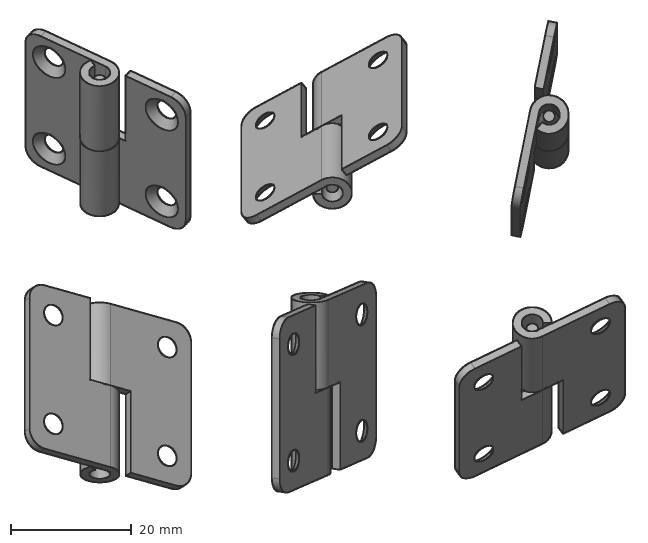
import cadquery as cq
import math

hinge_width = 32.0
hinge_height = 30.0
knuckle_diameter = 6.5
leaf_thickness = 1.5
corner_radius = 3.0

knuckle_radius = knuckle_diameter / 2
bore_radius = knuckle_radius - leaf_thickness
curl_end_angle = 150.0
knuckle_relief = 4.0

hole_diameter = 3.68
countersink_diameter = 6.5
countersink_angle = 90.0
hole_x = 11.25
hole_z = 10.0

pin_recess = 1.5
pin_tip_radius = 0.95
pin_taper_length = 4.0
pin_length = hinge_height - 2 * pin_recess


def polar(radius, angle):
    """Point on a circle about the pin axis, with the angle in degrees."""
    return (radius * math.cos(math.radians(angle)), radius * math.sin(math.radians(angle)))


def make_plate():
    """Flat plate on the -X side with rounded outer corners."""
    plate_width = hinge_width / 2 - knuckle_relief
    return (
        cq.Workplane("XY")
        .box(plate_width, leaf_thickness, hinge_height)
        .edges("|Y and <X")
        .fillet(corner_radius)
        .translate((-knuckle_relief - plate_width / 2, knuckle_radius - leaf_thickness / 2, 0))
    )


def make_knuckle():
    """Strip rolled around the pin, occupying the upper half of the hinge."""
    return (
        cq.Workplane("XY")
        .moveTo(-knuckle_relief, knuckle_radius)
        .lineTo(0, knuckle_radius)
        .threePointArc(polar(knuckle_radius, -45), polar(knuckle_radius, curl_end_angle))
        .lineTo(*polar(bore_radius, curl_end_angle))
        .threePointArc(polar(bore_radius, -45), (0, bore_radius))
        .lineTo(-knuckle_relief, bore_radius)
        .close()
        .extrude(hinge_height / 2)
    )


def make_leaf():
    """Left leaf: plate and knuckle, with screw holes countersunk on the knuckle side."""
    return (
        make_plate()
        .union(make_knuckle())
        .copyWorkplane(cq.Workplane("XZ", origin=(0, bore_radius, 0)))
        .pushPoints([(-hole_x, -hole_z), (-hole_x, hole_z)])
        .cskHole(hole_diameter, countersink_diameter, countersink_angle)
    )


def make_pin():
    """Pin filling the bore, tapering at both recessed ends."""
    tip_z = pin_length / 2
    shoulder_z = tip_z - pin_taper_length
    half_profile = [
        (0, -tip_z),
        (pin_tip_radius, -tip_z),
        (bore_radius, -shoulder_z),
        (bore_radius, shoulder_z),
        (pin_tip_radius, tip_z),
        (0, tip_z),
    ]
    return (
        cq.Workplane("XZ")
        .polyline(half_profile)
        .close()
        .revolve(360, (0, 0, 0), (0, 1, 0))
    )


leaves = [make_leaf().rotate((0, 0, 0), (0, 1, 0), turn) for turn in (0, 180)]
pin = make_pin()

result = cq.Compound.makeCompound([*[leaf.val() for leaf in leaves], pin.val()])